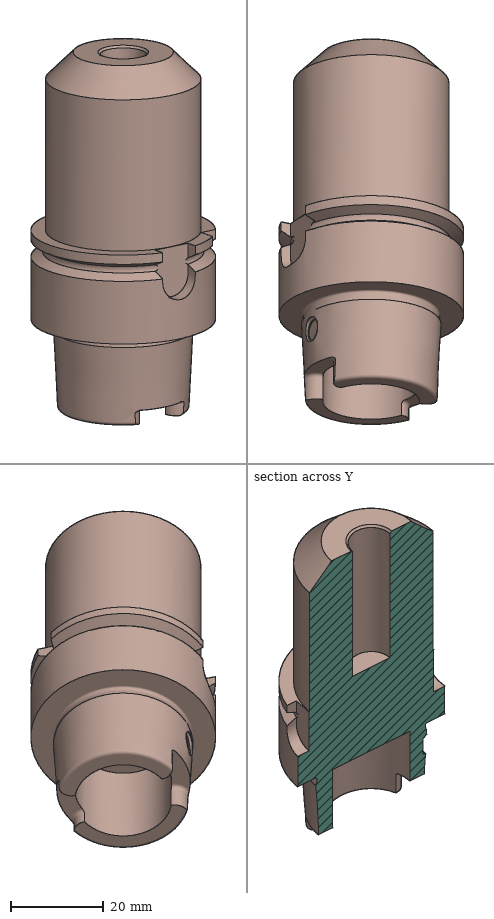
import cadquery as cq
import math

FLANGE_RADIUS = 20.0
FLANGE_HEIGHT = 20.0
BODY_RADIUS = 33.7 / 2
BODY_TOP = 60.0
BODY_CHAMFER = 6.0
SHANK_LENGTH = 20.0

GROOVE_MIDDLE = 16.0
GROOVE_HALF_OPENING = 1.9
GROOVE_HALF_FLOOR = 0.7
GROOVE_EDGE_RADIUS = 17.5
GROOVE_FLOOR_RADIUS = 17.4

NECK_RADIUS = 29.6 / 2
NECK_FILLET = 0.4
NECK_LENGTH = 1.0
TAPER_START = 2.2
TAPER_RADIUS = 15.1
TAPER_RATIO = 1 / 20
SHANK_ROUNDING = 0.7
SHANK_BORE_DIAMETER = 21.0
SHANK_BORE_DEPTH = 20.0

TOOL_BORE_DIAMETER = 10.0
TOOL_BORE_DEPTH = 36.0
TOOL_BORE_MOUTH_DIAMETER = 11.0

CROSS_HOLE_DIAMETER = 4.6
CROSS_HOLE_MOUTH_DIAMETER = 5.6
CROSS_HOLE_DEPTH = 0.8
CROSS_HOLE_DROP = 6.1

KEYWAY_FLOOR = 17.0
LEFT_KEYWAY_WIDTH = 10.9
LEFT_KEYWAY_BOTTOM = 8.0
LEFT_KEYWAY_CORNER = 4.4
RIGHT_KEYWAY_WIDTH = 9.0
RIGHT_KEYWAY_BOTTOM = 8.8

NOTCH_CORNER = 12.0

SLOT_WIDTH = 8.0
SLOT_MOUTH_WIDTH = 13.8
SLOT_FLARE_START = 9.8
SLOT_CORNER = 0.8
LEFT_SLOT_HEIGHT = 5.8
RIGHT_SLOT_HEIGHT = 3.4

CLEARANCE = 4.0
KEYWAY_CUT_DEPTH = FLANGE_RADIUS + CLEARANCE - KEYWAY_FLOOR


def turned_body():
    """Revolve the outside: tapered shank, grooved flange and cylindrical body."""
    end_radius = TAPER_RADIUS - (SHANK_LENGTH - TAPER_START) * TAPER_RATIO
    rounding_radius = end_radius + SHANK_ROUNDING * TAPER_RATIO
    arc_offset = SHANK_ROUNDING * (1 - math.sqrt(0.5))
    neck_arc_offset = NECK_FILLET * (1 - math.sqrt(0.5))
    profile = (
        cq.Workplane("YZ")
        .moveTo(0, -SHANK_LENGTH)
        .lineTo(end_radius - SHANK_ROUNDING, -SHANK_LENGTH)
        .threePointArc(
            (end_radius - arc_offset, -SHANK_LENGTH + arc_offset),
            (rounding_radius, -SHANK_LENGTH + SHANK_ROUNDING),
        )
        .lineTo(TAPER_RADIUS, -TAPER_START)
        .lineTo(NECK_RADIUS, -NECK_LENGTH)
        .lineTo(NECK_RADIUS, -NECK_FILLET)
        .threePointArc(
            (NECK_RADIUS + neck_arc_offset, -neck_arc_offset),
            (NECK_RADIUS + NECK_FILLET, 0),
        )
        .lineTo(FLANGE_RADIUS, 0)
        .lineTo(FLANGE_RADIUS, GROOVE_MIDDLE - GROOVE_HALF_OPENING)
        .lineTo(GROOVE_EDGE_RADIUS, GROOVE_MIDDLE - GROOVE_HALF_FLOOR)
        .threePointArc(
            (GROOVE_FLOOR_RADIUS, GROOVE_MIDDLE),
            (GROOVE_EDGE_RADIUS, GROOVE_MIDDLE + GROOVE_HALF_FLOOR),
        )
        .lineTo(FLANGE_RADIUS, GROOVE_MIDDLE + GROOVE_HALF_OPENING)
        .lineTo(FLANGE_RADIUS, FLANGE_HEIGHT)
        .lineTo(BODY_RADIUS, FLANGE_HEIGHT)
        .lineTo(BODY_RADIUS, BODY_TOP - BODY_CHAMFER)
        .lineTo(BODY_RADIUS - BODY_CHAMFER, BODY_TOP)
        .lineTo(0, BODY_TOP)
        .close()
    )
    return profile.revolve(360, (0, 0, 0), (0, 1, 0))


def countersunk_drill(plane, diameter, depth, mouth_diameter):
    """Drill body along the plane normal, with a 45 degree countersink at the plane."""
    sink = (mouth_diameter - diameter) / 2
    hole = cq.Workplane(plane).circle(diameter / 2).extrude(depth)
    countersink = cq.Workplane(plane).circle(mouth_diameter / 2).extrude(sink, taper=45)
    approach = cq.Workplane(plane).circle(mouth_diameter / 2).extrude(-CLEARANCE)
    return hole.union(countersink).union(approach)


def left_keyway():
    """Keyway on the -X side, open at the flange top, with two rounded lower corners."""
    height = FLANGE_HEIGHT - LEFT_KEYWAY_BOTTOM
    return (
        cq.Workplane("XY")
        .box(KEYWAY_CUT_DEPTH, LEFT_KEYWAY_WIDTH, height, centered=(True, True, False))
        .edges("|X and <Z")
        .fillet(LEFT_KEYWAY_CORNER)
        .translate((-KEYWAY_FLOOR - KEYWAY_CUT_DEPTH / 2, 0, LEFT_KEYWAY_BOTTOM))
    )


def right_keyway():
    """Keyway on the +X side, open at the flange top, with a fully round lower end."""
    radius = RIGHT_KEYWAY_WIDTH / 2
    round_center = RIGHT_KEYWAY_BOTTOM + radius
    return (
        cq.Workplane("YZ", origin=(KEYWAY_FLOOR, 0, 0))
        .moveTo(-radius, FLANGE_HEIGHT)
        .lineTo(-radius, round_center)
        .threePointArc((0, RIGHT_KEYWAY_BOTTOM), (radius, round_center))
        .lineTo(radius, FLANGE_HEIGHT)
        .close()
        .extrude(KEYWAY_CUT_DEPTH)
    )


def index_notch():
    """Square corner cut through the rim above the gripper groove."""
    size = FLANGE_RADIUS - NOTCH_CORNER + CLEARANCE
    height = FLANGE_HEIGHT - GROOVE_MIDDLE
    return (
        cq.Workplane("XY")
        .box(size, size, height, centered=False)
        .translate((NOTCH_CORNER, NOTCH_CORNER, GROOVE_MIDDLE))
    )


def drive_slot(side, height):
    """Slot from the shank axis outwards, its mouth flared by convex quarter arcs."""
    half = SLOT_WIDTH / 2
    half_mouth = SLOT_MOUTH_WIDTH / 2
    flare = half_mouth - half
    flare_x = SLOT_FLARE_START + flare
    outer_x = FLANGE_RADIUS
    arc_x = SLOT_FLARE_START + flare * math.sqrt(0.5)
    arc_y = half_mouth - flare * math.sqrt(0.5)
    slot = (
        cq.Workplane("XY")
        .moveTo(0, -half)
        .lineTo(SLOT_FLARE_START, -half)
        .threePointArc((arc_x, -arc_y), (flare_x, -half_mouth))
        .lineTo(outer_x, -half_mouth)
        .lineTo(outer_x, half_mouth)
        .lineTo(flare_x, half_mouth)
        .threePointArc((arc_x, arc_y), (SLOT_FLARE_START, half))
        .lineTo(0, half)
        .close()
        .extrude(height + CLEARANCE)
        .faces(">Z")
        .edges("not |Y")
        .fillet(SLOT_CORNER)
        .translate((0, 0, -SHANK_LENGTH - CLEARANCE))
    )
    return slot if side > 0 else slot.mirror("YZ")


def cross_hole():
    """Blind cross hole on the -X side of the shank, with a countersunk mouth."""
    surface_x = -(TAPER_RADIUS - (CROSS_HOLE_DROP - TAPER_START) * TAPER_RATIO)
    plane = cq.Plane(origin=(surface_x, 0, -CROSS_HOLE_DROP), xDir=(0, 1, 0), normal=(1, 0, 0))
    return countersunk_drill(plane, CROSS_HOLE_DIAMETER, CROSS_HOLE_DEPTH, CROSS_HOLE_MOUTH_DIAMETER)


def tool_bore():
    """Blind bore for the tool, entering from the top face."""
    plane = cq.Plane(origin=(0, 0, BODY_TOP), xDir=(1, 0, 0), normal=(0, 0, -1))
    return countersunk_drill(plane, TOOL_BORE_DIAMETER, TOOL_BORE_DEPTH, TOOL_BORE_MOUTH_DIAMETER)


def shank_bore():
    """Clamping bore entering from the free end of the shank."""
    bore = cq.Workplane("XY").circle(SHANK_BORE_DIAMETER / 2).extrude(SHANK_BORE_DEPTH)
    return bore.translate((0, 0, -SHANK_LENGTH)).rotate((0, 0, 0), (0, 0, 1), 90)


result = (
    turned_body()
    .cut(tool_bore())
    .cut(shank_bore())
    .cut(cross_hole())
    .cut(left_keyway())
    .cut(right_keyway())
    .cut(index_notch())
    .cut(drive_slot(-1, LEFT_SLOT_HEIGHT))
    .cut(drive_slot(1, RIGHT_SLOT_HEIGHT))
)